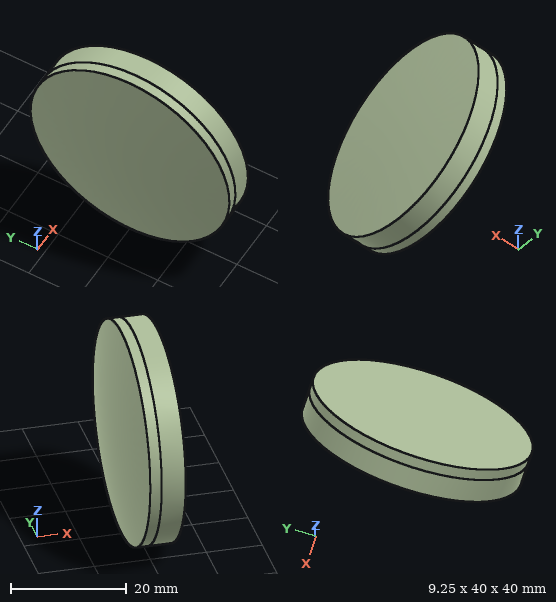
import cadquery as cq

LENS_RADIUS = 20.0
FRONT_RIM_WIDTH = 2.05
FRONT_SAG = 2.05
REAR_RIM_WIDTH = 4.3
REAR_SAG = 0.85


def plano_convex_lens(rim_width, sag, direction):
    """Solid lens with its flat face at X = 0 and its dome facing along direction (-1 or +1)."""
    rim_x = direction * rim_width
    apex_x = direction * (rim_width + sag)
    sphere_radius = (LENS_RADIUS**2 + sag**2) / (2 * sag)

    arc_radial = LENS_RADIUS / 2
    arc_drop = sphere_radius - (sphere_radius**2 - arc_radial**2) ** 0.5
    arc_point = (apex_x - direction * arc_drop, arc_radial)

    half_profile = (
        cq.Workplane("XZ")
        .moveTo(0, 0)
        .lineTo(0, LENS_RADIUS)
        .lineTo(rim_x, LENS_RADIUS)
        .threePointArc(arc_point, (apex_x, 0))
        .close()
    )
    return half_profile.revolve(360, (0, 0, 0), (1, 0, 0))


front_element = plano_convex_lens(FRONT_RIM_WIDTH, FRONT_SAG, -1)
rear_element = plano_convex_lens(REAR_RIM_WIDTH, REAR_SAG, 1)

result = cq.Compound.makeCompound([front_element.val(), rear_element.val()])